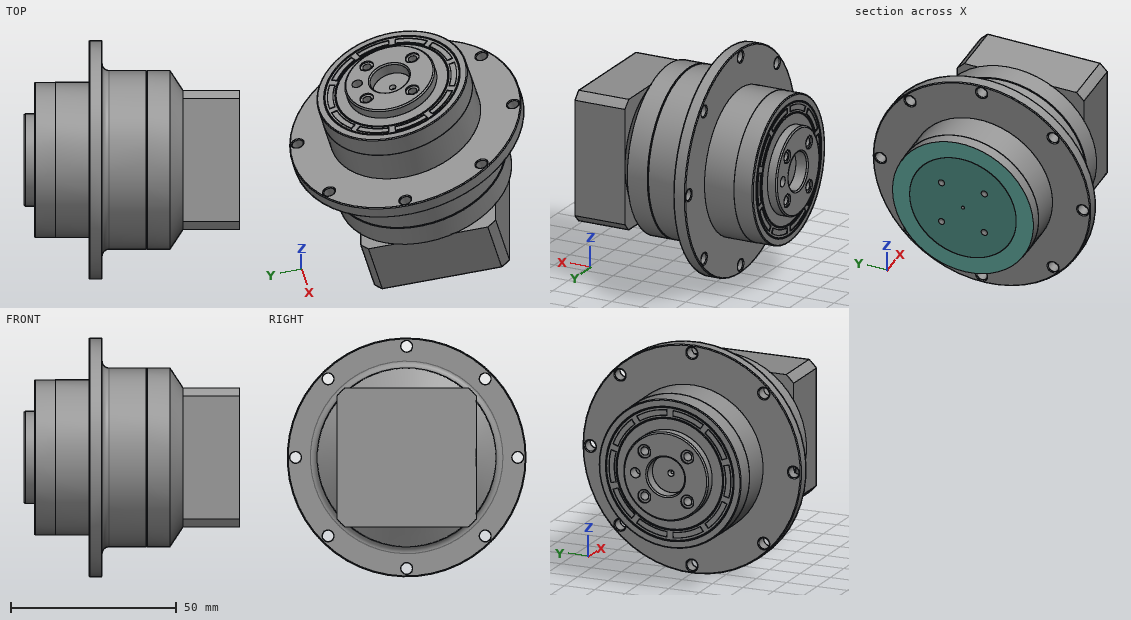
import cadquery as cq
import math


FRONT_FACE_X = 3.2
PILOT_END_X = 9.6
FLANGE_X = 19.6
FLANGE_THICKNESS = 4.0
JOINT_X = 37.0
CONE_X = 44.0
SQUARE_X = 47.95
LENGTH = 65.0

FLANGE_RADIUS = 36.0
PILOT_RADIUS = 23.4
HUB_RADIUS = 23.5
BARREL_RADIUS = 27.0
OUTPUT_RADIUS = 17.6
SEAL_RADIUS = 21.0
SPIGOT_RADIUS = 14.0
SQUARE_SIDE = 42.0
CORNER_RADIUS = 28.0

FLANGE_CHAMFER = 0.3
PILOT_CHAMFER = 0.3
SPIGOT_CHAMFER = 0.4
JOINT_CHAMFER = 0.2
BARREL_FILLET = 2.0

MOUNT_HOLE_COUNT = 8
MOUNT_HOLE_RADIUS = 1.7
MOUNT_CIRCLE_RADIUS = 33.5
MOUNT_MOUTH_RADIUS = 2.0

SLOT_COUNT = 10
SLOT_INNER_RADIUS = 18.35
SLOT_OUTER_RADIUS = 20.1
SLOT_ANGLE = 30.0
SLOT_DEPTH = 0.2

BORE_RADIUS = 6.1
BORE_DEPTH = 4.0
BORE_MOUTH_RADIUS = 6.55
CENTRE_HOLE_RADIUS = 0.4
CENTRE_HOLE_DEPTH = 2.9
CENTRE_MOUTH_RADIUS = 1.0
CENTRE_CONE_ANGLE = 60.0
SCREW_COUNT = 4
SCREW_CIRCLE_RADIUS = 10.0
SCREW_RADIUS = 1.3
SCREW_DEPTH = 5.75
RECESS_RADIUS = 2.1
RECESS_DEPTH = 0.5
DOWEL_RADIUS = 1.6
DOWEL_DEPTH = 4.0
DRILL_TIP_ANGLE = 118.0


def revolve_about_x(points):
    """Solid of revolution from (x, radius) points."""
    return cq.Workplane("XY").polyline(points).close().revolve(360, (0, 0, 0), (1, 0, 0))


def rod(radius, start_x, end_x, y=0.0):
    """Cylinder parallel to X."""
    return cq.Workplane("YZ", origin=(start_x, y, 0)).circle(radius).extrude(end_x - start_x)


def drill(radius, start_x, depth):
    """Blind drill shape on the axis, with a conical bottom."""
    tip = radius / math.tan(math.radians(DRILL_TIP_ANGLE / 2))
    return revolve_about_x([
        (start_x, 0),
        (start_x, radius),
        (start_x + depth, radius),
        (start_x + depth + tip, 0),
    ])


def countersink(hole_radius, mouth_radius, mouth_x, cone_angle=90.0):
    """Conical mouth for a hole on the axis, opening towards -X; cone_angle is the full angle."""
    depth = (mouth_radius - hole_radius) / math.tan(math.radians(cone_angle / 2))
    return revolve_about_x([
        (mouth_x, 0),
        (mouth_x, mouth_radius),
        (mouth_x + depth, hole_radius),
        (mouth_x + depth, 0),
    ])


def around_axis(shape, radius, count, start_angle):
    """Copies of an on-axis shape, evenly spaced on a circle around X."""
    placed = shape.translate((0, radius, 0))
    step = 360 / count
    return [placed.rotate((0, 0, 0), (1, 0, 0), start_angle + i * step) for i in range(count)]


def v_groove(radius):
    """Ring cutter for a V-shaped groove in the front face of the hub."""
    return revolve_about_x([
        (FRONT_FACE_X, radius - JOINT_CHAMFER),
        (FRONT_FACE_X, radius + JOINT_CHAMFER),
        (FRONT_FACE_X + JOINT_CHAMFER, radius),
    ])


def arc_slot():
    """Cutter for one seal band slot, centred on +Y."""
    half_angle = math.radians(SLOT_ANGLE / 2)

    def on_circle(radius, angle):
        return (radius * math.cos(angle), radius * math.sin(angle))

    return (
        cq.Workplane("YZ", origin=(FRONT_FACE_X, 0, 0))
        .moveTo(*on_circle(SLOT_INNER_RADIUS, -half_angle))
        .lineTo(*on_circle(SLOT_OUTER_RADIUS, -half_angle))
        .threePointArc((SLOT_OUTER_RADIUS, 0), on_circle(SLOT_OUTER_RADIUS, half_angle))
        .lineTo(*on_circle(SLOT_INNER_RADIUS, half_angle))
        .threePointArc((SLOT_INNER_RADIUS, 0), on_circle(SLOT_INNER_RADIUS, -half_angle))
        .close()
        .extrude(SLOT_DEPTH)
    )


def make_housing():
    flange_back_x = FLANGE_X + FLANGE_THICKNESS

    hub = rod(PILOT_RADIUS, FRONT_FACE_X, PILOT_END_X).faces("<X").chamfer(PILOT_CHAMFER)
    hub = hub.union(rod(HUB_RADIUS, PILOT_END_X, FLANGE_X))
    flange = rod(FLANGE_RADIUS, FLANGE_X, flange_back_x).edges().chamfer(FLANGE_CHAMFER)

    fillet_end_x = flange_back_x + BARREL_FILLET
    fillet_top = BARREL_RADIUS + BARREL_FILLET
    fillet_reach = BARREL_FILLET * (1 - math.sqrt(0.5))
    barrel = (
        cq.Workplane("XY")
        .moveTo(flange_back_x, 0)
        .lineTo(flange_back_x, fillet_top)
        .threePointArc(
            (flange_back_x + fillet_reach, BARREL_RADIUS + fillet_reach),
            (fillet_end_x, BARREL_RADIUS),
        )
        .lineTo(JOINT_X - JOINT_CHAMFER, BARREL_RADIUS)
        .lineTo(JOINT_X, BARREL_RADIUS - JOINT_CHAMFER)
        .lineTo(JOINT_X, 0)
        .close()
        .revolve(360, (0, 0, 0), (1, 0, 0))
    )
    housing = hub.union(flange).union(barrel)

    housing = housing.cut(rod(OUTPUT_RADIUS, FRONT_FACE_X, FLANGE_X))
    housing = housing.cut(v_groove(OUTPUT_RADIUS)).cut(v_groove(SEAL_RADIUS))

    for slot in around_axis(arc_slot(), 0, SLOT_COUNT, 0):
        housing = housing.cut(slot)

    mount_hole = rod(MOUNT_HOLE_RADIUS, FLANGE_X, flange_back_x)
    mount_hole = mount_hole.union(countersink(MOUNT_HOLE_RADIUS, MOUNT_MOUTH_RADIUS, FLANGE_X))
    for hole in around_axis(mount_hole, MOUNT_CIRCLE_RADIUS, MOUNT_HOLE_COUNT, 0):
        housing = housing.cut(hole)
    return housing


def make_output_flange():
    disc = rod(OUTPUT_RADIUS, FRONT_FACE_X, FLANGE_X).faces("<X").chamfer(JOINT_CHAMFER)
    spigot = rod(SPIGOT_RADIUS, 0, FRONT_FACE_X).faces("<X").chamfer(SPIGOT_CHAMFER)
    output = disc.union(spigot)

    output = output.cut(rod(BORE_RADIUS, 0, BORE_DEPTH))
    output = output.cut(countersink(BORE_RADIUS, BORE_MOUTH_RADIUS, 0))
    output = output.cut(drill(CENTRE_HOLE_RADIUS, BORE_DEPTH, CENTRE_HOLE_DEPTH))
    centre_mouth = countersink(CENTRE_HOLE_RADIUS, CENTRE_MOUTH_RADIUS, BORE_DEPTH, CENTRE_CONE_ANGLE)
    output = output.cut(centre_mouth)

    screw_hole = drill(SCREW_RADIUS, 0, SCREW_DEPTH).union(rod(RECESS_RADIUS, 0, RECESS_DEPTH))
    first_screw_angle = 180 / SCREW_COUNT
    for hole in around_axis(screw_hole, SCREW_CIRCLE_RADIUS, SCREW_COUNT, first_screw_angle):
        output = output.cut(hole)

    return output.cut(rod(DOWEL_RADIUS, 0, DOWEL_DEPTH, y=SCREW_CIRCLE_RADIUS))


def make_adapter():
    barrel = revolve_about_x([
        (JOINT_X, 0),
        (JOINT_X, BARREL_RADIUS - JOINT_CHAMFER),
        (JOINT_X + JOINT_CHAMFER, BARREL_RADIUS),
        (CONE_X, BARREL_RADIUS),
        (SQUARE_X, SQUARE_SIDE / 2),
        (SQUARE_X, 0),
    ])
    block = (
        cq.Workplane("YZ", origin=(SQUARE_X, 0, 0))
        .rect(SQUARE_SIDE, SQUARE_SIDE)
        .extrude(LENGTH - SQUARE_X)
        .intersect(rod(CORNER_RADIUS, SQUARE_X, LENGTH))
    )
    return barrel.union(block)


housing = make_housing()
output_flange = make_output_flange()
adapter = make_adapter()

result = cq.Compound.makeCompound([housing.val(), output_flange.val(), adapter.val()])